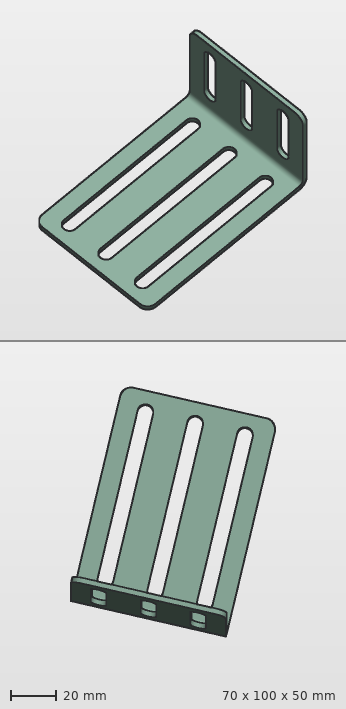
import cadquery as cq

width = 70.0
depth = 100.0
height = 50.0

thickness = 2.5
inner_bend_radius = 2.5
outer_bend_radius = inner_bend_radius + thickness
corner_radius = 5.0

slot_width = 7.0
slot_spacing = 22.5
slot_edge_gap = 6.0
slot_bend_gap = 10.0
slot_columns = [(-slot_spacing, 0), (0, 0), (slot_spacing, 0)]

back = depth / 2
front = -depth / 2


def make_angle():
    """L-shaped sheet: base on Z = 0, wall standing at the back."""
    base = cq.Workplane("XY").box(width, depth, thickness, centered=(True, True, False))
    wall = (
        cq.Workplane("XY")
        .box(width, thickness, height, centered=(True, False, False))
        .translate((0, back - thickness, 0))
    )
    angle = base.union(wall)
    inner_corner = cq.selectors.NearestToPointSelector((0, back - thickness, thickness))
    outer_corner = cq.selectors.NearestToPointSelector((0, back, 0))
    angle = angle.edges(inner_corner).fillet(inner_bend_radius)
    return angle.edges(outer_corner).fillet(outer_bend_radius)


def round_free_corners(angle):
    """Round the two outer corners of each flange."""
    angle = angle.faces("<Y").edges("|Z").fillet(corner_radius)
    return angle.faces(">Z").edges("|Y").fillet(corner_radius)


def base_slots():
    """Cutters for the long slots, running along Y through the base."""
    length = depth - slot_edge_gap - slot_bend_gap
    center_y = front + slot_edge_gap + length / 2
    return (
        cq.Workplane("XY", origin=(0, center_y, 0))
        .pushPoints(slot_columns)
        .slot2D(length, slot_width, 90)
        .extrude(thickness)
    )


def wall_slots():
    """Cutters for the short slots, running along Z through the wall."""
    length = height - slot_edge_gap - slot_bend_gap
    center_z = slot_bend_gap + length / 2
    return (
        cq.Workplane("XZ", origin=(0, back, center_z))
        .pushPoints(slot_columns)
        .slot2D(length, slot_width, 90)
        .extrude(thickness)
    )


result = round_free_corners(make_angle()).cut(base_slots()).cut(wall_slots())